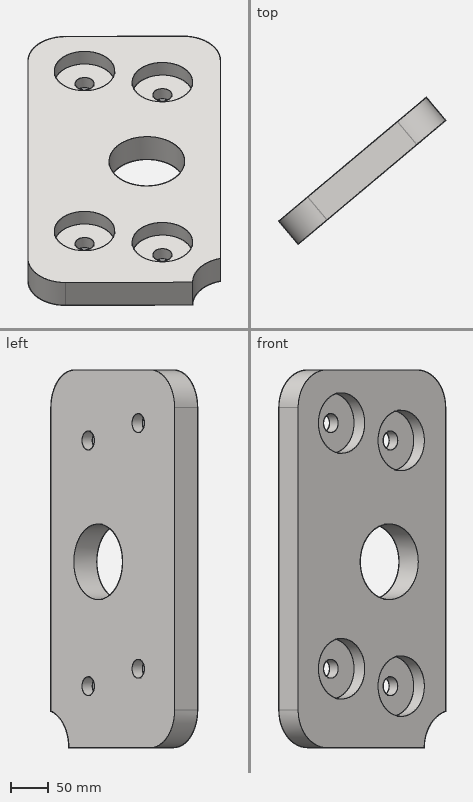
import cadquery as cq

width = 255.0
height = 500.0
thickness = 40.0
turn_angle = 40.0
corner_radius = 50.0

notch_radius = 50.0
notch_offset = 13.0

opening_diameter = 100.0
opening_u = 157.5
opening_z = 246.0

bore_diameter = 80.0
bore_depth = 22.0
bolt_diameter = 25.0
lower_holes = [(75.0, 104.5), (178.0, 81.5)]
row_spacing = 325.0


def front_plane():
    """Front face plane, origin at the lower left corner, normal toward -Y."""
    return cq.Workplane("XZ")


def make_blank():
    """Rounded plate with the concave lower right corner."""
    plate = front_plane().rect(width, height, centered=False).extrude(-thickness)
    rounded = plate.edges("|Y and (<X or >Z)").fillet(corner_radius)
    notch = (
        front_plane()
        .center(width + notch_offset, 0)
        .circle(notch_radius)
        .extrude(-thickness)
    )
    return rounded.cut(notch)


def cut_opening(plate):
    opening = (
        front_plane()
        .center(opening_u, opening_z)
        .circle(opening_diameter / 2)
        .extrude(-thickness)
    )
    return plate.cut(opening)


def cut_bolt_holes(plate):
    upper_holes = [(u, z + row_spacing) for u, z in lower_holes]
    centers = lower_holes + upper_holes
    bores = front_plane().pushPoints(centers).circle(bore_diameter / 2).extrude(-bore_depth)
    bolts = front_plane().pushPoints(centers).circle(bolt_diameter / 2).extrude(-thickness)
    return plate.cut(bores).cut(bolts)


flat_plate = cut_bolt_holes(cut_opening(make_blank()))
result = flat_plate.rotate((0, 0, 0), (0, 0, 1), turn_angle)